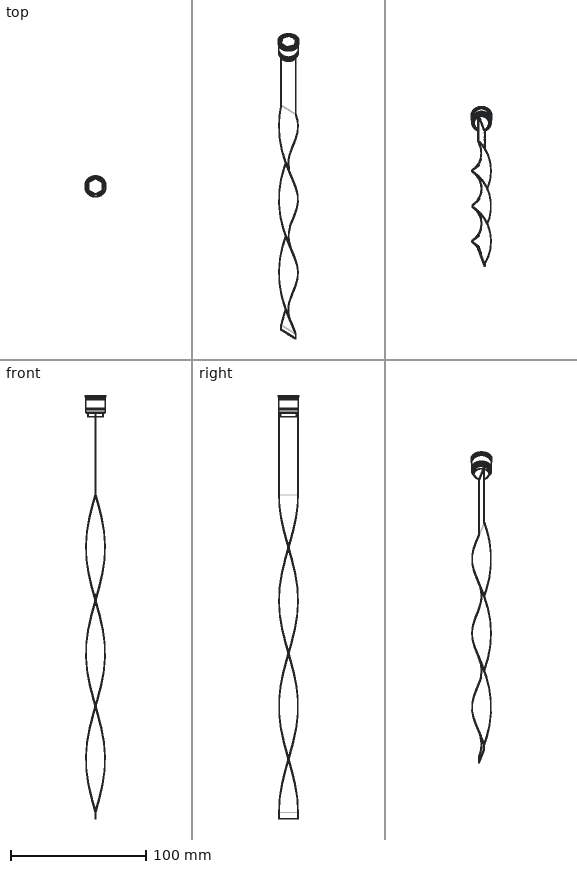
import cadquery as cq
import math

OVERALL_LENGTH = 312.5

FLANGE_DIAMETER = 15.5
FLANGE_THICKNESS = 0.5
COLLAR_DIAMETER = 14.5
COLLAR_HEIGHT = 12.75
COLLAR_CHAMFER = 0.6
GROOVE_WIDTH = 1.1
GROOVE_DEPTH = 0.65
GROOVE_CENTRES = (2.15, 9.85)

SHANK_DIAMETER = 11.2
PLUG_HEIGHT = 15.5
HEX_ACROSS_FLATS = 10.2
HEAD_HEIGHT = 1.0
SEAT_DIAMETER = 12.0
SEAT_HEIGHT = 1.0
SEAT_BOTTOM = HEAD_HEIGHT + SEAT_HEIGHT

STRIP_WIDTH = 14.2
STRIP_THICKNESS = 0.5
STRIP_TOP = COLLAR_HEIGHT
TWIST_START = 73.0
FLAT_END_LENGTH = 5.0
TWIST_END = OVERALL_LENGTH - FLAT_END_LENGTH
TWIST_ANGLE = -540.0


def plane_below_top(depth):
    return cq.Workplane("XY").workplane(offset=-depth)


def cylinder(diameter, upper, lower):
    """Round bar on the Z axis between two depths below the top."""
    return plane_below_top(lower).circle(diameter / 2).extrude(lower - upper)


def flat_strip(upper, lower):
    """Untwisted length of strip, its width along Y, between two depths below the top."""
    return plane_below_top(lower).rect(STRIP_THICKNESS, STRIP_WIDTH).extrude(lower - upper)


def v_groove(depth):
    """Ring that cuts a V-groove around the collar, centred at a depth below the top."""
    radius = COLLAR_DIAMETER / 2
    half_width = GROOVE_WIDTH / 2
    profile = [
        (radius, -depth + half_width),
        (radius - GROOVE_DEPTH, -depth),
        (radius, -depth - half_width),
    ]
    return cq.Workplane("XZ").polyline(profile).close().revolve(360, (0, 0, 0), (0, 1, 0))


def make_collar():
    sleeve = cylinder(COLLAR_DIAMETER, 0, COLLAR_HEIGHT).faces("<Z").chamfer(COLLAR_CHAMFER)
    collar = sleeve.union(cylinder(FLANGE_DIAMETER, 0, FLANGE_THICKNESS))
    for depth in GROOVE_CENTRES:
        collar = collar.cut(v_groove(depth))
    collar = collar.cut(cylinder(SEAT_DIAMETER, 0, SEAT_BOTTOM))
    return collar.cut(cylinder(SHANK_DIAMETER, SEAT_BOTTOM, COLLAR_HEIGHT))


def make_plug():
    across_corners = HEX_ACROSS_FLATS / math.cos(math.pi / 6)
    head = plane_below_top(HEAD_HEIGHT).polygon(6, across_corners).extrude(HEAD_HEIGHT)
    head = head.rotate((0, 0, 0), (0, 0, 1), 30)
    seat = cylinder(SEAT_DIAMETER, HEAD_HEIGHT, SEAT_BOTTOM)
    plug = cylinder(SHANK_DIAMETER, SEAT_BOTTOM, PLUG_HEIGHT).union(seat).union(head)
    return plug.cut(flat_strip(STRIP_TOP, PLUG_HEIGHT))


def make_strip():
    twist = (
        plane_below_top(TWIST_END)
        .rect(STRIP_THICKNESS, STRIP_WIDTH)
        .twistExtrude(TWIST_END - TWIST_START, TWIST_ANGLE)
    )
    upper_flat = flat_strip(STRIP_TOP, TWIST_START)
    lower_flat = flat_strip(TWIST_END, OVERALL_LENGTH)
    return upper_flat.union(twist).union(lower_flat)


collar = make_collar().solids()
plug = make_plug().solids()
strip = make_strip().solids()

result = cq.Compound.makeCompound([collar.val(), plug.val(), strip.val()])